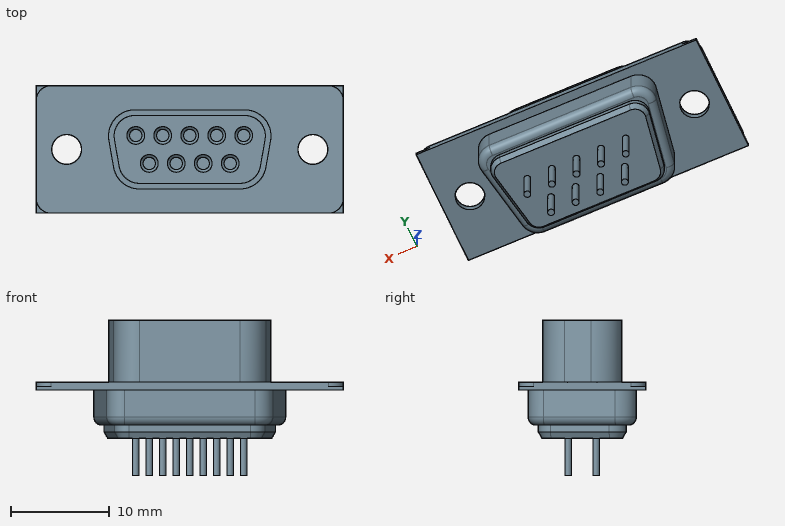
import math

import cadquery as cq


flange_length = 31.19
flange_width = 12.93
lower_plate_thickness = 0.4
flange_thickness = 0.83
upper_plate_corner_radius = 1.5
mounting_hole_diameter = 3.0
mounting_hole_spacing = 25.0

side_wall_angle = 10.0

shell_width = 16.5
shell_height = 8.03
shell_corner_radius = 2.65
shell_wall = 0.57
shell_top = 7.12
insert_recess = 0.4

rear_body_width = 19.5
rear_body_height = 11.0
rear_body_corner_radius = 1.87
rear_body_depth = 3.55
rear_body_edge_radius = 0.83

rear_step_width = 17.43
rear_step_height = 8.95
rear_step_corner_radius = 1.5
rear_step_depth = 1.33
rear_step_chamfer_height = 0.66
rear_step_chamfer_angle = 30.0

contact_pitch = 2.74
row_spacing = 2.84
upper_row_count = 5
lower_row_count = 4
socket_diameter = 1.25
socket_mouth_diameter = 1.8
socket_countersink_depth = 0.3
socket_depth = 3.0
pin_diameter = 0.7
pin_length = 3.8

rear_face = -rear_body_depth - rear_step_depth


def d_outline(plane_height, width, height, corner_radius):
    """Closed D-shaped wire, wide side toward +Y, with four equal rounded corners."""
    slope = math.radians(side_wall_angle)
    center_y = height / 2 - corner_radius
    upper_center_x = width / 2 - corner_radius
    lower_center_x = upper_center_x - 2 * center_y * math.tan(slope)

    def corner_point(center_x, y, angle):
        return (center_x + corner_radius * math.cos(angle), y + corner_radius * math.sin(angle))

    def mirrored(point):
        return (-point[0], point[1])

    quarter = math.pi / 2
    upper_side = corner_point(upper_center_x, center_y, -slope)
    upper_middle = corner_point(upper_center_x, center_y, (quarter - slope) / 2)
    upper_flat = corner_point(upper_center_x, center_y, quarter)
    lower_side = corner_point(lower_center_x, -center_y, -slope)
    lower_middle = corner_point(lower_center_x, -center_y, -(quarter + slope) / 2)
    lower_flat = corner_point(lower_center_x, -center_y, -quarter)

    return (
        cq.Workplane("XY", origin=(0, 0, plane_height))
        .moveTo(*lower_flat)
        .threePointArc(lower_middle, lower_side)
        .lineTo(*upper_side)
        .threePointArc(upper_middle, upper_flat)
        .lineTo(*mirrored(upper_flat))
        .threePointArc(mirrored(upper_middle), mirrored(upper_side))
        .lineTo(*mirrored(lower_side))
        .threePointArc(mirrored(lower_middle), mirrored(lower_flat))
        .close()
    )


def contact_positions():
    rows = ((upper_row_count, row_spacing / 2), (lower_row_count, -row_spacing / 2))
    return [
        ((index - (count - 1) / 2) * contact_pitch, y)
        for count, y in rows
        for index in range(count)
    ]


def make_flange():
    lower_plate = cq.Workplane("XY").rect(flange_length, flange_width).extrude(lower_plate_thickness)
    upper_plate = (
        cq.Workplane("XY", origin=(0, 0, lower_plate_thickness))
        .rect(flange_length, flange_width)
        .extrude(flange_thickness - lower_plate_thickness)
        .edges("|Z")
        .fillet(upper_plate_corner_radius)
    )
    half_spacing = mounting_hole_spacing / 2
    holes = (
        cq.Workplane("XY")
        .pushPoints([(-half_spacing, 0), (half_spacing, 0)])
        .circle(mounting_hole_diameter / 2)
        .extrude(flange_thickness)
    )
    return lower_plate.union(upper_plate).cut(holes)


def make_shell():
    """D-shaped plug whose contact face sits just below the rim of its metal shell."""
    plug = d_outline(0, shell_width, shell_height, shell_corner_radius).extrude(shell_top)
    recess = d_outline(
        shell_top - insert_recess,
        shell_width - 2 * shell_wall,
        shell_height - 2 * shell_wall,
        shell_corner_radius - shell_wall,
    ).extrude(insert_recess)
    return plug.cut(recess)


def make_rear_body():
    return (
        d_outline(0, rear_body_width, rear_body_height, rear_body_corner_radius)
        .extrude(-rear_body_depth)
        .faces("<Z")
        .edges()
        .fillet(rear_body_edge_radius)
    )


def make_rear_step():
    chamfer_inset = rear_step_chamfer_height * math.tan(math.radians(rear_step_chamfer_angle))
    return (
        d_outline(-rear_body_depth, rear_step_width, rear_step_height, rear_step_corner_radius)
        .extrude(-rear_step_depth)
        .faces("<Z")
        .chamfer(rear_step_chamfer_height, chamfer_inset)
    )


def make_pins():
    return (
        cq.Workplane("XY", origin=(0, 0, rear_face))
        .pushPoints(contact_positions())
        .circle(pin_diameter / 2)
        .extrude(-pin_length)
    )


def make_sockets():
    """Blind contact holes with conical mouths, sunk from the contact face."""
    mouth_radius = socket_mouth_diameter / 2
    bore_radius = socket_diameter / 2
    socket = (
        cq.Workplane("XZ")
        .lineTo(mouth_radius, 0)
        .lineTo(bore_radius, -socket_countersink_depth)
        .lineTo(bore_radius, -socket_depth)
        .lineTo(0, -socket_depth)
        .close()
        .revolve(360, (0, 0, 0), (0, 1, 0))
        .val()
    )
    contact_face = shell_top - insert_recess
    return (
        cq.Workplane("XY", origin=(0, 0, contact_face))
        .pushPoints(contact_positions())
        .eachpoint(lambda place: socket.moved(place), combine=False)
    )


result = (
    make_flange()
    .union(make_shell())
    .union(make_rear_body())
    .union(make_rear_step())
    .union(make_pins())
    .cut(make_sockets())
)